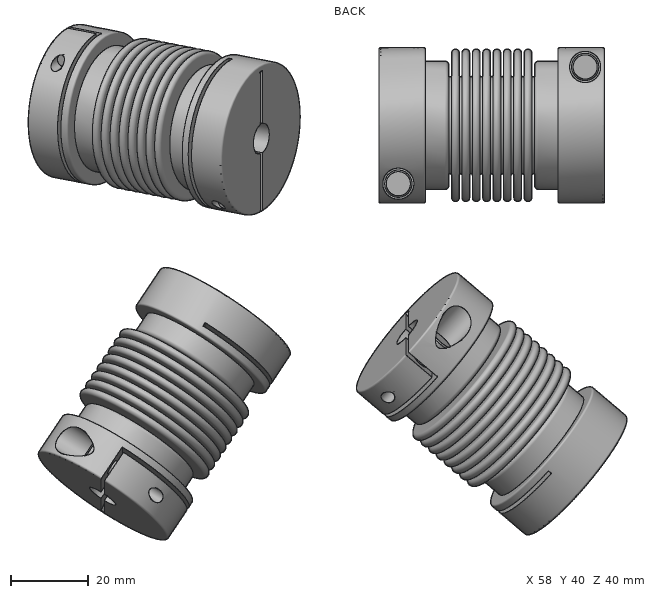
import cadquery as cq
import math

total_length = 58.0
bore_radius = 4.0

hub_radius = 20.0
hub_length = 12.0
hub_edge_fillet = 0.5
collar_radius = 16.5
collar_length = 6.0
collar_edge_fillet = 1.0

convolution_count = 8
convolution_pitch = 2.66
crest_radius = 19.6
root_radius = 12.5
fold_radius = 1.0

slot_width = 1.0
clamp_width = 9.0
saw_radius = 40.0
saw_centre_z = 8.0

screw_offset = 15.0
screw_inset = 5.0
shank_diameter = 4.0
thread_hole_diameter = 3.3
shank_end_y = -10.5
head_diameter = 7.0
head_top_y = 7.6
head_height = 4.0
head_edge_chamfer = 0.4
counterbore_diameter = 8.0

half_length = total_length / 2
hub_inner_x = -half_length + hub_length
collar_inner_x = hub_inner_x + collar_length
screw_x = -half_length + screw_inset
head_seat_y = head_top_y - head_height
clamp_inner_x = -half_length + clamp_width
slot_deep_x = clamp_inner_x + slot_width

saw_centre_x = slot_deep_x - saw_radius
saw_arc_angle = math.acos((-half_length - saw_centre_x) / saw_radius)
slot_low_z = saw_centre_z - saw_radius * math.sin(saw_arc_angle)
slot_arc_mid_x = saw_centre_x + saw_radius * math.cos(saw_arc_angle / 2)
slot_arc_mid_z = saw_centre_z - saw_radius * math.sin(saw_arc_angle / 2)


def x_cylinder(start_x, length, radius):
    """Solid cylinder on the coupling axis."""
    return cq.Workplane("YZ", origin=(start_x, 0, 0)).circle(radius).extrude(length)


def screw_cylinder(start_y, end_y, diameter):
    """Solid cylinder along Y on the clamp screw axis, from start_y up to end_y."""
    plane = cq.Workplane("XZ", origin=(screw_x, start_y, screw_offset))
    return plane.circle(diameter / 2).extrude(start_y - end_y)


def box_between(x_range, y_range, z_range):
    """Axis-aligned box spanning the given (low, high) ranges."""
    sizes = [high - low for low, high in (x_range, y_range, z_range)]
    corner = (x_range[0], y_range[0], z_range[0])
    return cq.Workplane("XY", origin=corner).box(*sizes, centered=False)


def make_hub_body():
    """Stepped hub at the -X end, with rounded outer edges."""
    clamp_ring = x_cylinder(-half_length, hub_length, hub_radius).edges().fillet(hub_edge_fillet)
    collar = x_cylinder(hub_inner_x, collar_length, collar_radius)
    collar = collar.faces(">X").edges().fillet(collar_edge_fillet)
    return clamp_ring.union(collar)


def cut_clamp_slots(hub):
    """Free the clamp jaw with a crosswise slot and a slot through the bore.

    The bore slot runs out of the top of the hub, and its floor is an arc of the saw radius.
    """
    half_slot = slot_width / 2
    cross_slot = box_between(
        (clamp_inner_x, slot_deep_x),
        (-hub_radius, half_slot),
        (-hub_radius, hub_radius),
    )
    radial_slot = (
        cq.Workplane("XZ", origin=(0, half_slot, 0))
        .moveTo(-half_length, hub_radius)
        .lineTo(-half_length, slot_low_z)
        .threePointArc((slot_arc_mid_x, slot_arc_mid_z), (slot_deep_x, saw_centre_z))
        .lineTo(slot_deep_x, hub_radius)
        .close()
        .extrude(slot_width)
    )
    return hub.cut(cross_slot).cut(radial_slot)


def fit_clamp_screw(hub):
    """Counterbored screw that bridges the radial slot into a blind threaded hole."""
    counterbore = screw_cylinder(head_seat_y, hub_radius, counterbore_diameter)
    thread_hole = screw_cylinder(-hub_radius, shank_end_y, thread_hole_diameter)
    head = screw_cylinder(head_seat_y, head_top_y, head_diameter)
    head = head.faces(">Y").edges().chamfer(head_edge_chamfer)
    shank = screw_cylinder(shank_end_y, head_seat_y, shank_diameter)
    return hub.cut(counterbore).cut(thread_hole).union(head).union(shank)


def make_bellows():
    """Convoluted tube revolved from a chain of crest and root arcs."""
    first_crest_x = -(convolution_count - 1) * convolution_pitch / 2
    valley_radius = convolution_pitch / 2 - fold_radius
    crest_centre = crest_radius - fold_radius
    root_centre = root_radius + valley_radius
    profile = cq.Workplane("XY").moveTo(collar_inner_x, 0).lineTo(collar_inner_x, root_radius)
    profile = profile.lineTo(first_crest_x - convolution_pitch / 2, root_radius)
    diagonal = valley_radius * math.sqrt(0.5)
    for index in range(convolution_count):
        crest_x = first_crest_x + index * convolution_pitch
        next_root_x = crest_x + convolution_pitch / 2
        profile = (
            profile.threePointArc(
                (crest_x - fold_radius - valley_radius + diagonal, root_centre - diagonal),
                (crest_x - fold_radius, root_centre),
            )
            .lineTo(crest_x - fold_radius, crest_centre)
            .threePointArc((crest_x, crest_radius), (crest_x + fold_radius, crest_centre))
            .lineTo(crest_x + fold_radius, root_centre)
            .threePointArc(
                (next_root_x - diagonal, root_centre - diagonal),
                (next_root_x, root_radius),
            )
        )
    profile = profile.lineTo(-collar_inner_x, root_radius).lineTo(-collar_inner_x, 0).close()
    return profile.revolve(360, (0, 0, 0), (1, 0, 0))


bore = x_cylinder(-half_length, total_length, bore_radius)
left_hub = fit_clamp_screw(cut_clamp_slots(make_hub_body()))
right_hub = left_hub.rotate((0, 0, 0), (0, 1, 0), 180)
result = make_bellows().union(left_hub).union(right_hub).cut(bore)